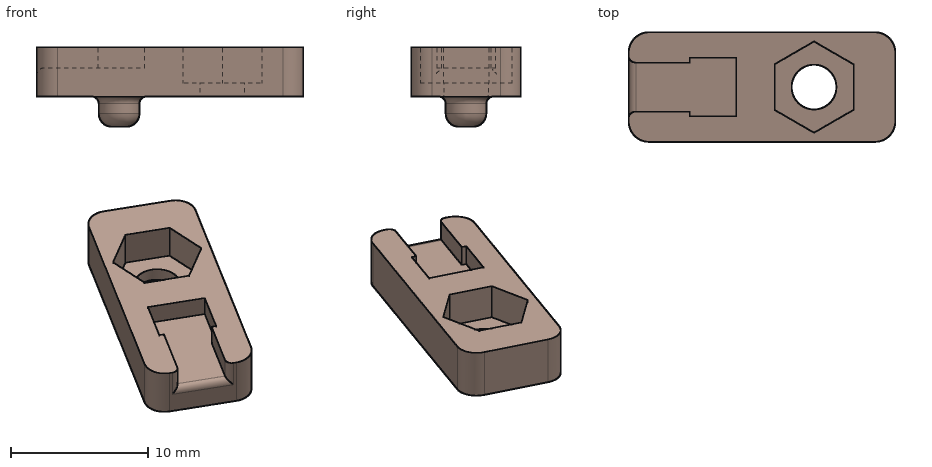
import cadquery as cq
import math

length = 19.43
width = 8.0
total_height = 5.8
body_height = 3.6
corner_radius = 1.5

pocket_depth = 1.5
channel_width = 3.58
pocket_width = 4.27
pocket_start = 4.47
pocket_end = 7.83
mouth_radius = 0.5

screw_x = 13.5
screw_diameter = 3.25
nut_across_flats = 5.75
nut_depth = 2.6

peg_x = 6.0
peg_diameter = 3.0
peg_root_radius = 0.5
peg_tip_radius = 1.0
peg_overlap = 0.39


def make_body():
    """Rounded block with its left end at X = 0."""
    block = cq.Workplane("XY").box(length, width, body_height, centered=(False, True, False))
    return block.edges("|Z").fillet(corner_radius)


def cut_pocket(body):
    """Cut the channel, round its mouth on three sides, then cut the wider inner pocket."""
    floor_z = body_height - pocket_depth
    floor = cq.Workplane("XY").workplane(offset=floor_z)
    channel = floor.rect(2 * pocket_end, channel_width).extrude(pocket_depth)
    wide_pocket = (
        floor.center((pocket_start + pocket_end) / 2, 0)
        .rect(pocket_end - pocket_start, pocket_width)
        .extrude(pocket_depth)
    )
    tolerance = 0.02
    mouth = cq.selectors.BoxSelector(
        (-tolerance, -channel_width / 2 - tolerance, floor_z - tolerance),
        (tolerance, channel_width / 2 + tolerance, body_height + tolerance),
    )
    return body.cut(channel).edges(mouth).fillet(mouth_radius).cut(wide_pocket)


def make_nut_cutter():
    """Hexagonal recess, with corners along Y, above a through hole."""
    across_corners = nut_across_flats / math.cos(math.pi / 6)
    recess = (
        cq.Workplane("XY", origin=(screw_x, 0, body_height))
        .transformed(rotate=(0, 0, 90))
        .polygon(6, across_corners)
        .extrude(-nut_depth)
    )
    hole = cq.Workplane("XY").center(screw_x, 0).circle(screw_diameter / 2).extrude(body_height)
    return recess.union(hole)


def make_peg():
    """Revolved peg with a flared root and a rounded tip."""
    radius = peg_diameter / 2
    tip_z = body_height - total_height
    slant = math.sqrt(0.5)
    root_mid = (
        radius + peg_root_radius * (1 - slant),
        -peg_root_radius * (1 - slant),
    )
    tip_mid = (
        radius - peg_tip_radius * (1 - slant),
        tip_z + peg_tip_radius * (1 - slant),
    )
    return (
        cq.Workplane("XZ", origin=(peg_x, 0, 0))
        .moveTo(0, peg_overlap)
        .lineTo(radius + peg_root_radius, peg_overlap)
        .lineTo(radius + peg_root_radius, 0)
        .threePointArc(root_mid, (radius, -peg_root_radius))
        .lineTo(radius, tip_z + peg_tip_radius)
        .threePointArc(tip_mid, (radius - peg_tip_radius, tip_z))
        .lineTo(0, tip_z)
        .close()
        .revolve(360, (0, 0, 0), (0, 1, 0))
    )


result = cut_pocket(make_body()).cut(make_nut_cutter()).union(make_peg())